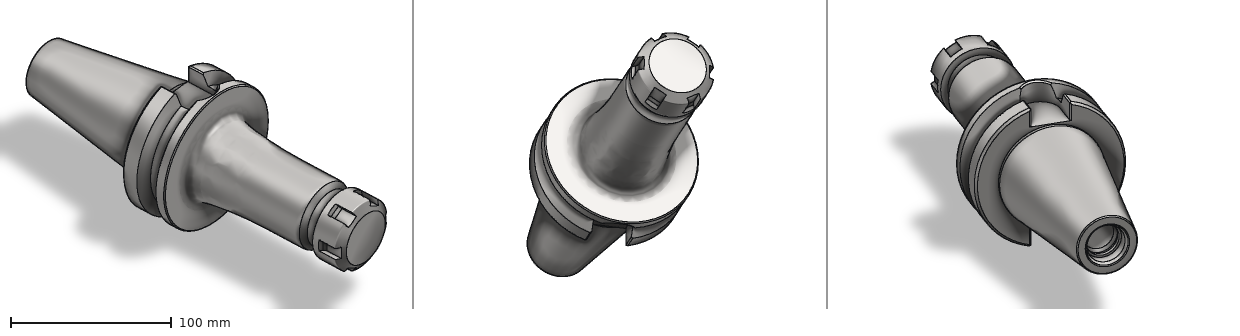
import cadquery as cq
import math

TOTAL_LENGTH = 261.8

TOLERANCE = 0.03

TAPER_END_RADIUS = 20.2
TAPER_GAUGE_RADIUS = 34.8
TAPER_LENGTH = 101.8
TAPER_END_CHAMFER = 0.8
RELIEF_RADIUS = 34.5
RELIEF_START = 103.0

FLANGE_RADIUS = 50.0
FLANGE_START = 104.7
FLANGE_END = 139.8
FLANGE_FRONT_CHAMFER = 1.5
FLANGE_BACK_CHAMFER = 0.8
GROOVE_RADIUS = 42.1
GROOVE_START = 117.0
GROOVE_END = 132.7
GROOVE_FLANK_ANGLE = 30.0

DRIVE_SLOT_WIDTH = 25.7
DRIVE_SLOT_FLOOR = 35.3
DRIVE_SLOT_END = 136.7
DRIVE_SLOT_CHAMFER = 1.0

NECK_ROOT_RADIUS = 35.5
NECK_FILLET_END = 150.0
NECK_WIDE_RADIUS = 27.2
NECK_RADIUS = 24.0
NECK_STRAIGHT_START = 194.8
NECK_ROUND_START = 225.0
NECK_CONE_START = 227.5
NECK_CONE_START_RADIUS = 23.5
NECK_CONE_END = 231.0
SPIGOT_RADIUS = 20.0

BORE_MOUTH_RADIUS = 14.7
BORE_MOUTH_DEPTH = 0.5
CENTER_CONE_RADIUS = 14.0
CENTER_CONE_END = 2.5
COUNTERBORE_RADIUS = 12.5
COUNTERBORE_DEPTH = 9.2
LIP_RADIUS = 11.0
LIP_END = 11.8
THREAD_RELIEF_RADIUS = 12.0
THREAD_RELIEF_END = 15.2
THREAD_RADIUS = 10.2
THREAD_START = 17.0
BORE_DEPTH = 52.4
DRILL_POINT_ANGLE = 118.0

NUT_START = 239.3
NUT_RADIUS = 25.0
NUT_BACK_CHAMFER_LENGTH = 1.5
NUT_BACK_CHAMFER_HEIGHT = 0.3
NUT_CONE_START = 258.0
NUT_FACE_RADIUS = 18.5
NUT_CONE_BLEND = 1.3

WRENCH_SLOT_COUNT = 6
WRENCH_SLOT_WIDTH = 8.6
WRENCH_SLOT_FLOOR = 21.2
WRENCH_SLOT_START = 244.3
WRENCH_SLOT_STEEP_RUN = 1.5
WRENCH_SLOT_STEEP_DROP = 2.4
WRENCH_SLOT_RAMP_RUN = 4.0


def revolve_about_x(profile):
    return profile.close().revolve(360, (0, 0, 0), (1, 0, 0))


def make_holder_blank():
    flank_run = (FLANGE_RADIUS - GROOVE_RADIUS) * math.tan(math.radians(GROOVE_FLANK_ANGLE))
    neck_slope = (NECK_WIDE_RADIUS - NECK_RADIUS) / (NECK_STRAIGHT_START - NECK_FILLET_END)
    profile = (
        cq.Workplane("XY")
        .lineTo(0, TAPER_END_RADIUS - TAPER_END_CHAMFER)
        .lineTo(TAPER_END_CHAMFER, TAPER_END_RADIUS)
        .lineTo(TAPER_LENGTH, TAPER_GAUGE_RADIUS)
        .lineTo(RELIEF_START, RELIEF_RADIUS)
        .lineTo(FLANGE_START, RELIEF_RADIUS)
        .lineTo(FLANGE_START, FLANGE_RADIUS - FLANGE_FRONT_CHAMFER)
        .lineTo(FLANGE_START + FLANGE_FRONT_CHAMFER, FLANGE_RADIUS)
        .lineTo(GROOVE_START, FLANGE_RADIUS)
        .lineTo(GROOVE_START + flank_run, GROOVE_RADIUS)
        .lineTo(GROOVE_END - flank_run, GROOVE_RADIUS)
        .lineTo(GROOVE_END, FLANGE_RADIUS)
        .lineTo(FLANGE_END - FLANGE_BACK_CHAMFER, FLANGE_RADIUS)
        .lineTo(FLANGE_END, FLANGE_RADIUS - FLANGE_BACK_CHAMFER)
        .lineTo(FLANGE_END, NECK_ROOT_RADIUS)
        .spline(
            [(NECK_FILLET_END, NECK_WIDE_RADIUS)],
            tangents=[(0, -1), (1, -2 * neck_slope)],
            includeCurrent=True,
        )
        .spline(
            [(NECK_STRAIGHT_START, NECK_RADIUS)],
            tangents=[(1, -2 * neck_slope), (1, 0)],
            includeCurrent=True,
        )
        .lineTo(NECK_ROUND_START, NECK_RADIUS)
        .tangentArcPoint((NECK_CONE_START, NECK_CONE_START_RADIUS), relative=False)
        .lineTo(NECK_CONE_END, SPIGOT_RADIUS)
        .lineTo(NUT_START, SPIGOT_RADIUS)
        .lineTo(NUT_START, 0)
    )
    return revolve_about_x(profile)


def make_bore():
    point_length = THREAD_RADIUS / math.tan(math.radians(DRILL_POINT_ANGLE / 2))
    profile = (
        cq.Workplane("XY")
        .lineTo(0, BORE_MOUTH_RADIUS)
        .lineTo(BORE_MOUTH_DEPTH, CENTER_CONE_RADIUS)
        .lineTo(CENTER_CONE_END, COUNTERBORE_RADIUS)
        .lineTo(COUNTERBORE_DEPTH, COUNTERBORE_RADIUS)
        .lineTo(COUNTERBORE_DEPTH, LIP_RADIUS)
        .lineTo(LIP_END, LIP_RADIUS)
        .lineTo(LIP_END, THREAD_RELIEF_RADIUS)
        .lineTo(THREAD_RELIEF_END, THREAD_RELIEF_RADIUS)
        .lineTo(THREAD_START, THREAD_RADIUS)
        .lineTo(BORE_DEPTH, THREAD_RADIUS)
        .lineTo(BORE_DEPTH + point_length, 0)
    )
    return revolve_about_x(profile)


def make_drive_slot():
    half_width = DRIVE_SLOT_WIDTH / 2
    return (
        cq.Workplane("XY", origin=(0, 0, DRIVE_SLOT_FLOOR))
        .moveTo(FLANGE_START, -half_width - DRIVE_SLOT_CHAMFER)
        .lineTo(FLANGE_START + DRIVE_SLOT_CHAMFER, -half_width)
        .lineTo(DRIVE_SLOT_END - half_width, -half_width)
        .threePointArc((DRIVE_SLOT_END, 0), (DRIVE_SLOT_END - half_width, half_width))
        .lineTo(FLANGE_START + DRIVE_SLOT_CHAMFER, half_width)
        .lineTo(FLANGE_START, half_width + DRIVE_SLOT_CHAMFER)
        .close()
        .extrude(FLANGE_RADIUS)
    )


def is_drive_slot_rim(edge):
    """True for an edge that lies on the flange's outer cylinder along a drive slot."""
    for fraction in (0.0, 0.3, 0.7, 1.0):
        point = edge.positionAt(fraction)
        on_cylinder = abs(math.hypot(point.y, point.z) - FLANGE_RADIUS) < TOLERANCE
        beside_slot = abs(point.y) < DRIVE_SLOT_WIDTH / 2 + TOLERANCE
        if not (on_cylinder and beside_slot):
            return False
    return True


def make_holder():
    slot = make_drive_slot()
    opposite_slot = slot.rotate((0, 0, 0), (1, 0, 0), 180)
    holder = make_holder_blank().cut(make_bore()).cut(slot).cut(opposite_slot)
    slot_rims = [edge for edge in holder.edges().vals() if is_drive_slot_rim(edge)]
    return holder.newObject(slot_rims).chamfer(DRIVE_SLOT_CHAMFER)


def make_nut_blank():
    profile = (
        cq.Workplane("XY")
        .moveTo(NUT_START, 0)
        .lineTo(NUT_START, NUT_RADIUS - NUT_BACK_CHAMFER_HEIGHT)
        .lineTo(NUT_START + NUT_BACK_CHAMFER_LENGTH, NUT_RADIUS)
        .lineTo(NUT_CONE_START, NUT_RADIUS)
        .lineTo(TOTAL_LENGTH, NUT_FACE_RADIUS)
        .lineTo(TOTAL_LENGTH, 0)
    )
    blank = revolve_about_x(profile)
    cone_rim = cq.selectors.BoxSelector(
        (NUT_CONE_START - TOLERANCE, -NUT_RADIUS, -NUT_RADIUS),
        (NUT_CONE_START + TOLERANCE, NUT_RADIUS, NUT_RADIUS),
    )
    return blank.edges(cone_rim).fillet(NUT_CONE_BLEND)


def make_wrench_slot():
    return (
        cq.Workplane("XY")
        .moveTo(WRENCH_SLOT_START, NUT_RADIUS)
        .lineTo(WRENCH_SLOT_START + WRENCH_SLOT_STEEP_RUN, NUT_RADIUS - WRENCH_SLOT_STEEP_DROP)
        .lineTo(WRENCH_SLOT_START + WRENCH_SLOT_RAMP_RUN, WRENCH_SLOT_FLOOR)
        .lineTo(TOTAL_LENGTH, WRENCH_SLOT_FLOOR)
        .lineTo(TOTAL_LENGTH, NUT_RADIUS)
        .close()
        .extrude(WRENCH_SLOT_WIDTH / 2, both=True)
    )


def make_nut():
    nut = make_nut_blank()
    slot = make_wrench_slot()
    for index in range(WRENCH_SLOT_COUNT):
        nut = nut.cut(slot.rotate((0, 0, 0), (1, 0, 0), index * 360 / WRENCH_SLOT_COUNT))
    return nut


holder = make_holder()
nut = make_nut()

result = cq.Compound.makeCompound([holder.val(), nut.val()])